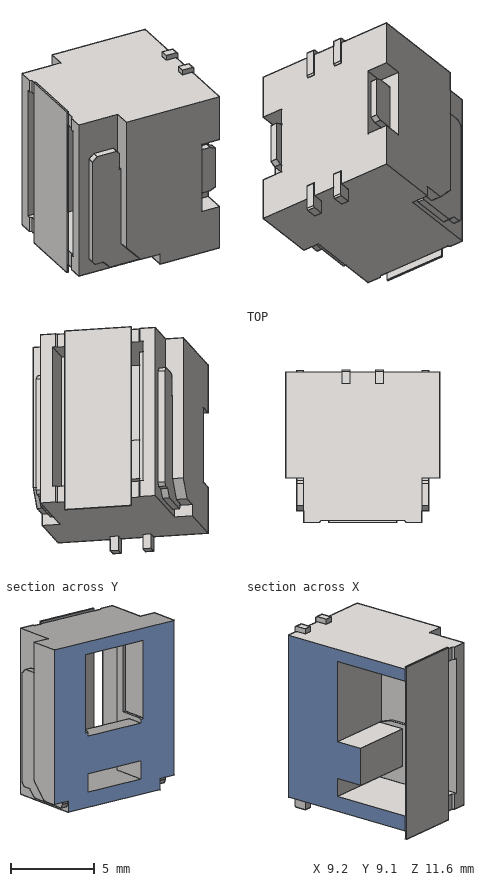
import cadquery as cq


housing_width = 9.2
housing_depth = 8.98
housing_height = 10.39
nose_width = 7.03

step_depth = 2.65
step_foot_depth = 4.93
step_foot_height = 0.7
step_ramp_run = 0.96
step_ramp_rise = 1.03

recess_width = 5.17
recess_floor_width = 4.99
recess_depth = 0.12

pocket_bottom = 0.99
pocket_top = 9.59
mouth_width = 5.55
mouth_depth = 2.32
chamber_width = 4.01
chamber_back = 5.22
ledge_front = 3.48
ledge_bottom = 2.1
ledge_top = 4.49

undercut_width = 4.38
undercut_front = 2.9
undercut_floor = 4.78
undercut_slope_start = 4.38
undercut_slope_drop = 0.28

notch_bottom = 2.84
notch_top = 7.45
notch_depth = 1.21
notch_width = 1.39
notch_floor = housing_depth - notch_depth

tab_span = 7.89
tab_thickness = (tab_span - nose_width) / 2
tab_front = 0.7
tab_front_top = 8.15
tab_front_bottom = 0.32
tab_front_back = 2.52
tab_shoulder = 6.84
tab_top_front_bevel_depth = 0.32
tab_top_front_bevel_height = 0.29
tab_top_back_bevel_depth = 0.17
tab_top_back_bevel_height = 0.2
tab_heel_bottom = 0.79
tab_heel_back = 1.4
tab_heel_bevel_depth = 0.17
tab_heel_bevel_height = 0.22
tab_foot_front = 1.87
tab_foot_back = 4.52
tab_foot_bevel_depth = 0.12
tab_foot_bevel_height = 0.25
tab_rear_bottom = 3.68
tab_rear_top = 6.66
tab_rear_back = 9.07
tab_rear_bevel_depth = 0.37
tab_rear_bevel_height = 0.17

pin_width = 0.5
pin_spacing = 2.0
pin_depth = 0.8
pin_length = 1.83
pin_chamfer = 0.09
pin_back = 9.1
pin_row_height = 11.6
pin_row_top = 10.72
pin_row_bottom = pin_row_top - pin_row_height

plate_width = 4.06
plate_bottom = -0.5
plate_top = 10.53


def block(width, y_start, y_end, z_start, z_end, x_centre=0):
    """Box given by its width about x_centre and its Y and Z limits."""
    return (
        cq.Workplane("XY")
        .box(width, y_end - y_start, z_end - z_start, centered=(True, False, False))
        .translate((x_centre, y_start, z_start))
    )


def side_profile(points, x_start, thickness):
    """Outline of (Y, Z) points extruded along +X from x_start."""
    return cq.Workplane("YZ").workplane(offset=x_start).polyline(points).close().extrude(thickness)


def both_sides(shape):
    return shape.union(shape.mirror("YZ"))


def side_steps():
    points = [
        (0, 0),
        (step_foot_depth, 0),
        (step_foot_depth, step_foot_height),
        (step_depth + step_ramp_run, step_foot_height),
        (step_depth, step_foot_height + step_ramp_rise),
        (step_depth, housing_height),
        (0, housing_height),
    ]
    return both_sides(side_profile(points, nose_width / 2, (housing_width - nose_width) / 2))


def front_recess():
    points = [
        (-recess_width / 2, 0),
        (recess_width / 2, 0),
        (recess_floor_width / 2, recess_depth),
        (-recess_floor_width / 2, recess_depth),
    ]
    return cq.Workplane("XY").polyline(points).close().extrude(housing_height)


def front_pocket():
    mouth = block(mouth_width, 0, mouth_depth, pocket_bottom, pocket_top)
    chamber = block(chamber_width, 0, chamber_back, pocket_bottom, pocket_top)
    undercut_points = [
        (undercut_front, undercut_floor),
        (undercut_slope_start, undercut_floor),
        (chamber_back, undercut_floor - undercut_slope_drop),
        (chamber_back, pocket_top),
        (undercut_front, pocket_top),
    ]
    undercut = side_profile(undercut_points, -undercut_width / 2, undercut_width)
    ledge = block(chamber_width, ledge_front, chamber_back, ledge_bottom, ledge_top)
    return mouth.union(chamber).cut(ledge).union(undercut)


def rear_notches():
    x_centre = (housing_width - notch_width) / 2
    return both_sides(block(notch_width, notch_floor, housing_depth, notch_bottom, notch_top, x_centre))


def side_tabs():
    front_points = [
        (tab_foot_back, tab_shoulder),
        (tab_foot_back, tab_front_bottom + tab_foot_bevel_height),
        (tab_foot_back - tab_foot_bevel_depth, tab_front_bottom),
        (tab_foot_front, tab_front_bottom),
        (tab_heel_back, tab_heel_bottom),
        (tab_front + tab_heel_bevel_depth, tab_heel_bottom),
        (tab_front, tab_heel_bottom + tab_heel_bevel_height),
        (tab_front, tab_front_top - tab_top_front_bevel_height),
        (tab_front + tab_top_front_bevel_depth, tab_front_top),
        (tab_front_back - tab_top_back_bevel_depth, tab_front_top),
        (tab_front_back, tab_front_top - tab_top_back_bevel_height),
        (tab_front_back, tab_shoulder),
    ]
    bevel_start = tab_rear_back - tab_rear_bevel_depth
    rear_points = [
        (notch_floor, tab_rear_bottom),
        (bevel_start, tab_rear_bottom),
        (tab_rear_back, tab_rear_bottom + tab_rear_bevel_height),
        (tab_rear_back, tab_rear_top - tab_rear_bevel_height),
        (bevel_start, tab_rear_top),
        (notch_floor, tab_rear_top),
    ]
    front_part = side_profile(front_points, nose_width / 2, tab_thickness)
    rear_part = side_profile(rear_points, nose_width / 2, tab_thickness)
    return both_sides(front_part).union(both_sides(rear_part))


def rear_pin(x_centre, z_start):
    pin = block(pin_width, pin_back - pin_depth, pin_back, z_start, z_start + pin_length, x_centre)
    return pin.faces(">Y").edges("|X").chamfer(pin_chamfer)


def make_housing():
    body = block(housing_width, 0, housing_depth, 0, housing_height)
    body = body.cut(side_steps())
    body = body.cut(front_recess())
    body = body.cut(front_pocket())
    body = body.cut(rear_notches())
    body = body.union(side_tabs())
    for x_centre in (-pin_spacing / 2, pin_spacing / 2):
        for z_start in (pin_row_bottom, pin_row_top - pin_length):
            body = body.union(rear_pin(x_centre, z_start))
    return body.solids()


def make_cover_plate():
    return block(plate_width, 0, recess_depth, plate_bottom, plate_top)


housing = make_housing()
cover_plate = make_cover_plate()

result = cq.Compound.makeCompound([housing.val(), cover_plate.val()])